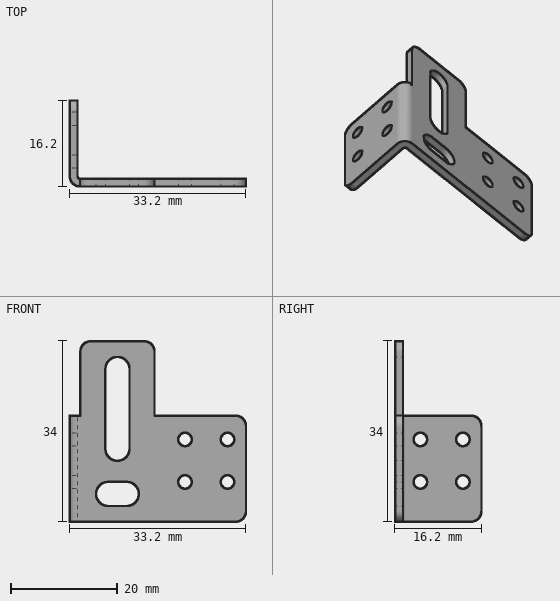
import cadquery as cq

length_x = 33.2
depth_y = 16.24
wall_height = 20.0
overall_height = 34.0

thickness = 1.5
bend_outer_radius = 2.0
bend_inner_radius = bend_outer_radius - thickness
corner_radius = 2.0

tab_width = 14.0
tab_left = bend_outer_radius
tab_center_x = tab_left + tab_width / 2

slot_width = 4.5
upright_slot_length = 19.5
upright_slot_bottom = 11.5
upright_slot_center_z = upright_slot_bottom + upright_slot_length / 2
level_slot_length = 8.0
level_slot_bottom = 3.0
level_slot_center_z = level_slot_bottom + slot_width / 2

hole_diameter = 2.5
hole_pitch = 8.0
hole_edge_distance = 3.5
hole_pattern_center_z = 11.5
front_pattern_center_x = length_x - hole_edge_distance - hole_pitch / 2
side_pattern_center_y = depth_y - hole_edge_distance - hole_pitch / 2


def bent_sheet():
    """L-shaped strip: front wall along X, side wall along Y, joined by a bend."""
    strip = (
        cq.Workplane("XY")
        .moveTo(bend_outer_radius, 0)
        .lineTo(length_x, 0)
        .lineTo(length_x, thickness)
        .lineTo(bend_outer_radius, thickness)
        .radiusArc((thickness, bend_outer_radius), bend_inner_radius)
        .lineTo(thickness, depth_y)
        .lineTo(0, depth_y)
        .lineTo(0, bend_outer_radius)
        .radiusArc((bend_outer_radius, 0), -bend_outer_radius)
        .close()
        .extrude(wall_height)
    )
    front_end_corners = strip.faces(">X").edges("|Y")
    side_end_corners = strip.faces(">Y").edges("|X")
    return strip.newObject(front_end_corners.vals() + side_end_corners.vals()).fillet(corner_radius)


def upright_tab():
    """Tab in the plane of the front wall with two rounded top corners."""
    tab = cq.Workplane("XY").box(tab_width, thickness, overall_height, centered=False)
    return tab.faces(">Z").edges("|Y").fillet(corner_radius).translate((tab_left, 0, 0))


def front_cutter(center_x, center_z):
    """Sketch plane on the outer front face, facing into the sheet."""
    return cq.Workplane("XZ", origin=(center_x, 0, center_z))


def slot_cut(center_z, slot_length, angle):
    return front_cutter(tab_center_x, center_z).slot2D(slot_length, slot_width, angle).extrude(-thickness)


def four_holes(plane, depth):
    pattern = plane.rarray(hole_pitch, hole_pitch, 2, 2)
    return pattern.circle(hole_diameter / 2).extrude(depth)


front_holes = four_holes(front_cutter(front_pattern_center_x, hole_pattern_center_z), -thickness)
side_plane = cq.Workplane("YZ", origin=(0, side_pattern_center_y, hole_pattern_center_z))
side_holes = four_holes(side_plane, thickness)

result = (
    bent_sheet()
    .union(upright_tab())
    .cut(slot_cut(upright_slot_center_z, upright_slot_length, 90))
    .cut(slot_cut(level_slot_center_z, level_slot_length, 0))
    .cut(front_holes)
    .cut(side_holes)
)